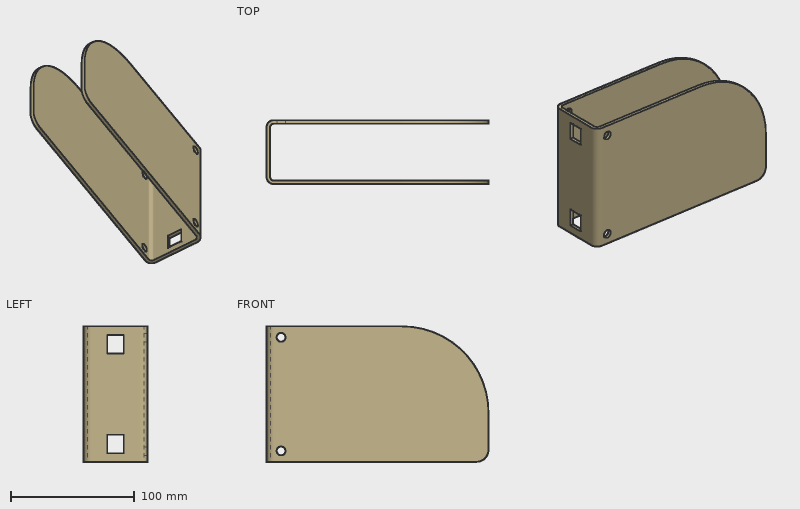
import cadquery as cq

length = 180.0
width = 52.0
height = 110.0

thickness = 3.0
bend_outer_radius = 6.1
bend_inner_radius = bend_outer_radius - thickness

top_corner_radius = 70.0
bottom_corner_radius = 10.0

hole_diameter = 7.0
hole_from_back = 11.9
hole_from_edge = 9.0

window_width = 13.0
window_height = 15.0
window_from_edge = 14.5


def block(size_x, size_y, radius):
    """Full-height block starting at its -X face, with its two -X upright edges rounded."""
    body = cq.Workplane("XY").box(size_x, size_y, height, centered=(False, True, False))
    return body.edges("|Z and <X").fillet(radius)


def mirrored_heights(edge_distance):
    """Heights of a feature pair set equally far from the bottom and top edges."""
    return (edge_distance, height - edge_distance)


def bent_sheet():
    """U-shaped sheet, open toward +X."""
    outer = block(length, width, bend_outer_radius)
    inner = block(length, width - 2 * thickness, bend_inner_radius)
    return outer.cut(inner.translate((thickness, 0, 0)))


def round_free_corners(body):
    """Round the +X corners of both side walls."""
    body = body.edges("|Y and >X and >Z").fillet(top_corner_radius)
    return body.edges("|Y and >X and <Z").fillet(bottom_corner_radius)


def side_holes():
    """Cylinders crossing both side walls."""
    centers = [(hole_from_back, z) for z in mirrored_heights(hole_from_edge)]
    return (
        cq.Workplane("XZ")
        .pushPoints(centers)
        .circle(hole_diameter / 2)
        .extrude(width, both=True)
    )


def back_windows():
    """Rectangular prisms crossing the back wall only."""
    centers = [(0, z) for z in mirrored_heights(window_from_edge)]
    return (
        cq.Workplane("YZ")
        .pushPoints(centers)
        .rect(window_width, window_height)
        .extrude(bend_outer_radius)
    )


result = round_free_corners(bent_sheet()).cut(side_holes()).cut(back_windows())